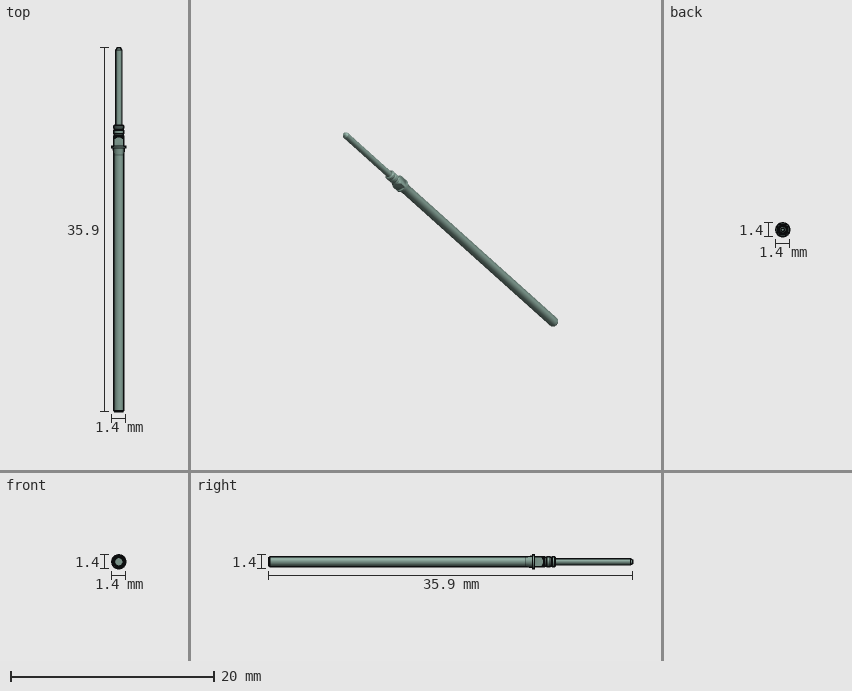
import cadquery as cq

total_length = 35.9
tip_end = total_length / 2

body_diameter = 1.0
shaft_diameter = 0.64
flange_diameter = 1.4
taper_diameter = 1.14
square_side = 1.0
groove_depth = 0.05

tip_chamfer_length = 0.25
tip_chamfer_depth = 0.16

shoulder_at = 7.65
shoulder_chamfer = 0.08
groove_starts = (7.92, 8.46)
groove_width = 0.26
square_start = 8.8
square_end = 9.7
flange_thickness = 0.2
taper_length = 0.7
tail_chamfer_length = 0.15
tail_chamfer_depth = 0.09


def cylinder(start, end, diameter):
    """Round length of the pin between two distances behind the tip."""
    return (
        cq.Workplane("XZ", origin=(0, tip_end - start, 0))
        .circle(diameter / 2)
        .extrude(end - start)
    )


def cone(start, end, start_diameter, end_diameter):
    """Tapered length of the pin between two distances behind the tip."""
    profile = [
        (0, tip_end - start),
        (start_diameter / 2, tip_end - start),
        (end_diameter / 2, tip_end - end),
        (0, tip_end - end),
    ]
    return cq.Workplane("XY").polyline(profile).close().revolve(360, (0, 0, 0), (0, 1, 0))


def shaft():
    """Thin front shaft with a chamfered tip."""
    tip_face = shaft_diameter - 2 * tip_chamfer_depth
    tip = cone(0, tip_chamfer_length, tip_face, shaft_diameter)
    return tip.union(cylinder(tip_chamfer_length, shoulder_at, shaft_diameter))


def grooved_collar():
    """Round collar with a chamfered shoulder and two V-shaped grooves."""
    chamfer_end = shoulder_at + shoulder_chamfer
    shoulder_diameter = body_diameter - 2 * shoulder_chamfer
    groove_floor = body_diameter - 2 * groove_depth
    collar = cone(shoulder_at, chamfer_end, shoulder_diameter, body_diameter)
    collar = collar.union(cylinder(chamfer_end, square_start, body_diameter))
    for start in groove_starts:
        middle = start + groove_width / 2
        end = start + groove_width
        core = cone(start, middle, body_diameter, groove_floor)
        core = core.union(cone(middle, end, groove_floor, body_diameter))
        collar = collar.cut(cylinder(start, end, body_diameter).cut(core))
    return collar


def square_collar():
    """Square block whose front corners are turned off by a 45 degree cone."""
    length = square_end - square_start
    start_plane = cq.Workplane("XZ", origin=(0, tip_end - square_start, 0))
    block = start_plane.rect(square_side, square_side).extrude(length)
    envelope = cone(square_start, square_end, body_diameter, body_diameter + 2 * length)
    corner_limit = cylinder(square_start, square_end, flange_diameter)
    return block.intersect(envelope).intersect(corner_limit)


def flange():
    """Thin round rim with a slight taper behind it that runs down to the body."""
    flange_end = square_end + flange_thickness
    taper_end = flange_end + taper_length
    rim = cylinder(square_end, flange_end, flange_diameter)
    return rim.union(cone(flange_end, taper_end, taper_diameter, body_diameter))


def body():
    """Long plain barrel with a chamfered tail."""
    start = square_end + flange_thickness
    chamfer_start = total_length - tail_chamfer_length
    tail_face = body_diameter - 2 * tail_chamfer_depth
    barrel = cylinder(start, chamfer_start, body_diameter)
    return barrel.union(cone(chamfer_start, total_length, body_diameter, tail_face))


result = shaft()
for section in (grooved_collar(), square_collar(), flange(), body()):
    result = result.union(section)